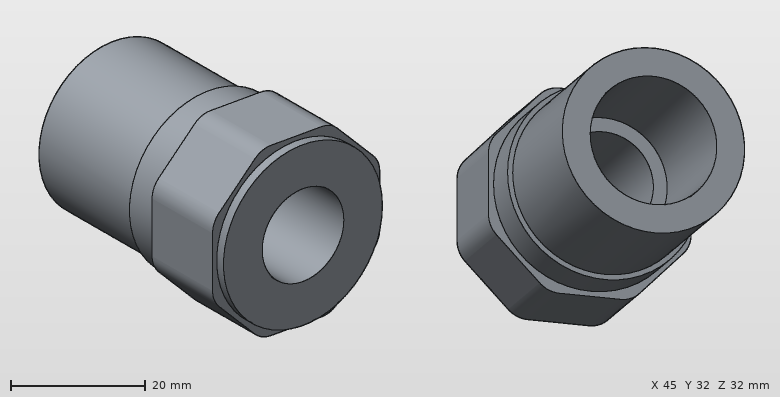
import cadquery as cq
import math

total_length = 45.0
collar_start = 22.6
nut_start = 29.0
nut_end = 43.4

spigot_diameter = 28.8
collar_diameter = 30.4
socket_diameter = 20.0
bore_diameter = 15.6
nut_across_flats = 32.0
nut_sides = 8
nut_corner_radius = 4.3

socket_depth = collar_start


def cylinder(diameter, start, end):
    """Round bar along X between two stations."""
    return cq.Workplane("YZ", origin=(start, 0, 0)).circle(diameter / 2).extrude(end - start)


def octagonal_nut():
    """Octagonal prism with flats square to Y and Z and rounded corners."""
    half_side_angle = math.pi / nut_sides
    across_corners = nut_across_flats / math.cos(half_side_angle)
    return (
        cq.Workplane("YZ", origin=(nut_start, 0, 0))
        .transformed(rotate=(0, 0, math.degrees(half_side_angle)))
        .polygon(nut_sides, across_corners)
        .extrude(nut_end - nut_start)
        .edges("|X")
        .fillet(nut_corner_radius)
    )


body = (
    cylinder(spigot_diameter, 0, collar_start)
    .union(cylinder(collar_diameter, collar_start, total_length))
    .union(octagonal_nut())
)

result = (
    body
    .cut(cylinder(bore_diameter, 0, total_length))
    .cut(cylinder(socket_diameter, 0, socket_depth))
)